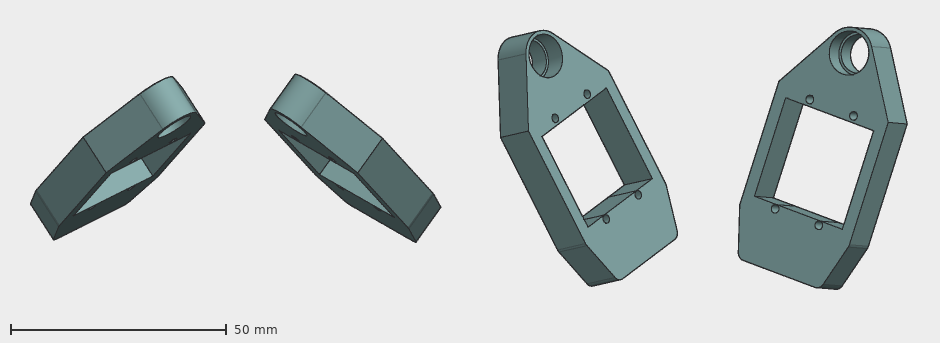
import cadquery as cq
import math

lean_angle = 34.2
plate_length = 60.0
plate_width = 30.0
plate_thickness = 10.0

foot_width = 22.4
lower_shoulder = 11.85
upper_shoulder = 42.05
corner_radius = 2.0
eye_radius = 6.0

bore_diameter = 9.0
counterbore_diameter = 10.2
counterbore_depth = 5.0

window_size = 24.05
window_center = 27.0
screw_diameter = 2.0
screw_spacing_along = 26.7
screw_spacing_across = 12.0
screw_center = 27.25

half_width = plate_width / 2
half_foot = foot_width / 2
eye_center = plate_length - eye_radius

lean = math.radians(lean_angle)
plate_face = cq.Plane(
    origin=(0, 0, 0),
    xDir=(math.sin(lean), 0, math.cos(lean)),
    normal=(-math.cos(lean), 0, math.sin(lean)),
)


def face_sketch(along):
    """Workplane on the upper face, centred at a distance along the plate."""
    return cq.Workplane(plate_face).center(along, 0)


def make_plate():
    """Extrude the outline, whose upper flanks run tangent into the eye."""
    shoulder_run = eye_center - upper_shoulder
    flank_angle = math.atan2(half_width, shoulder_run)
    tangent_offset = math.acos(eye_radius / math.hypot(shoulder_run, half_width))
    tangent_angle = math.pi - flank_angle - tangent_offset
    tangent_x = eye_center + eye_radius * math.cos(tangent_angle)
    tangent_y = eye_radius * math.sin(tangent_angle)

    plate = (
        cq.Workplane(plate_face)
        .moveTo(0, -half_foot)
        .lineTo(lower_shoulder, -half_width)
        .lineTo(upper_shoulder, -half_width)
        .lineTo(tangent_x, -tangent_y)
        .threePointArc((plate_length, 0), (tangent_x, tangent_y))
        .lineTo(upper_shoulder, half_width)
        .lineTo(lower_shoulder, half_width)
        .lineTo(0, half_foot)
        .close()
        .extrude(-plate_thickness)
    )
    lower_corners = [
        plate_face.toWorldCoords((along, side * across, -plate_thickness / 2))
        for along, across in ((0, half_foot), (lower_shoulder, half_width))
        for side in (-1, 1)
    ]
    for corner in lower_corners:
        edge = cq.selectors.NearestToPointSelector(corner.toTuple())
        plate = plate.edges(edge).fillet(corner_radius)
    return plate


def make_eye_bore():
    through = face_sketch(eye_center).circle(bore_diameter / 2).extrude(-plate_thickness)
    step = face_sketch(eye_center).circle(counterbore_diameter / 2).extrude(-counterbore_depth)
    return through.union(step)


def make_window():
    return face_sketch(window_center).rect(window_size, window_size).extrude(-plate_thickness)


def make_screw_holes():
    return (
        face_sketch(screw_center)
        .rarray(screw_spacing_along, screw_spacing_across, 2, 2)
        .circle(screw_diameter / 2)
        .extrude(-plate_thickness)
    )


result = make_plate().cut(make_eye_bore()).cut(make_window()).cut(make_screw_holes())